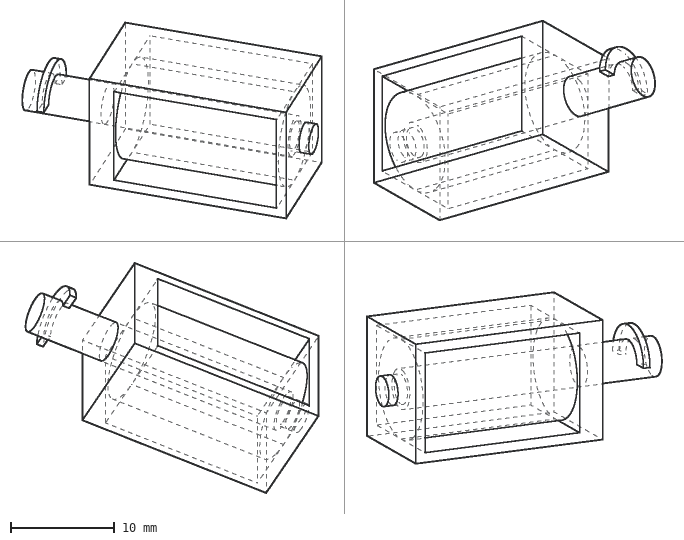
import cadquery as cq

overall_length = 29.0
housing_depth = 11.0
housing_height = 12.0

tail_overhang = 1.0
shaft_overhang = 8.0
housing_length = overall_length - tail_overhang - shaft_overhang
front_wall = 2.5
rear_wall = 1.0
window_length = housing_length - front_wall - rear_wall
window_height = 10.0
coil_diameter = window_height

shaft_diameter = 4.0
tail_diameter = 3.0
collar_diameter = 7.0
collar_thickness = 0.7
collar_setback = 2.0

housing_front = -housing_length / 2
housing_rear = housing_length / 2
window_front = housing_front + front_wall
window_rear = housing_rear - rear_wall
shaft_front = housing_front - shaft_overhang
tail_rear = housing_rear + tail_overhang


def rod(diameter, start_x, end_x):
    """Round bar on the X axis."""
    return cq.Workplane("YZ", origin=(start_x, 0, 0)).circle(diameter / 2).extrude(end_x - start_x)


def make_stem():
    """Shaft up to the rear wall, then the tail that passes through that wall."""
    shaft = rod(shaft_diameter, shaft_front, window_rear)
    tail = rod(tail_diameter, window_rear, tail_rear)
    return shaft.union(tail)


def make_collar():
    """Upper half of a disc around the shaft."""
    collar_front = shaft_front + collar_setback
    disc = rod(collar_diameter, collar_front, collar_front + collar_thickness)
    upper_half = cq.Workplane("XY", origin=(collar_front, 0, 0)).box(
        collar_thickness, collar_diameter, collar_diameter / 2, centered=(False, True, False)
    )
    return disc.intersect(upper_half)


def make_plunger():
    return make_stem().union(make_collar())


def make_housing():
    """Frame and coil in one piece, with a stepped bore that fits the plunger's stem."""
    frame = cq.Workplane("XY").box(housing_length, housing_depth, housing_height)
    window_centre = (window_front + window_rear) / 2
    window = cq.Workplane("XY", origin=(window_centre, 0, 0)).box(
        window_length, housing_depth, window_height
    )
    coil = rod(coil_diameter, window_front, window_rear)
    return frame.cut(window.cut(coil)).cut(make_stem())


housing = make_housing()
plunger = make_plunger()

result = cq.Compound.makeCompound([housing.solids().val(), plunger.solids().val()])